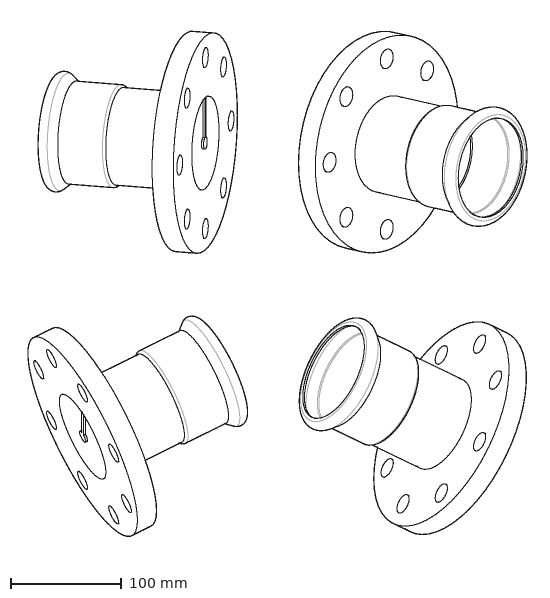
import cadquery as cq
import math

total_length = 143.0
flange_diameter = 200.0
flange_thickness = 20.0
flange_start = total_length - flange_thickness
bolt_count = 8
bolt_hole_diameter = 18.0
bolt_circle_diameter = 160.0

pipe_outer_radius = 88.8 / 2
pipe_bore_radius = 85.0 / 2

socket_outer_radius = 93.5 / 2
socket_bore_radius = 89.5 / 2
socket_end = 62.5
socket_bore_end = 59.5
shoulder_radius = 2.5

wall = 2.0
lip_radius = 91.0 / 2
bead_outer_radius = 6.0
bead_inner_radius = bead_outer_radius - wall
bead_center_radius = 48.8
bead_center_x = bead_outer_radius
bead_blend_angle = math.radians(50)
bead_cone_end = 17.8
cavity_edge_radius = 2.0

marker_disc_radius = 5.5
marker_bar_width = 3.2
marker_thickness = 2.0


def bead_point(radius, angle):
    """Point (x, radial distance) on a bead arc, at an angle from the +X direction."""
    return (
        bead_center_x + radius * math.cos(angle),
        bead_center_radius + radius * math.sin(angle),
    )


def make_fitting():
    upward = math.pi / 2

    cavity_blend = bead_point(bead_inner_radius, bead_blend_angle)
    cone_tilt = upward - bead_blend_angle
    cone_drop = cavity_blend[1] - socket_bore_radius
    cone_corner_x = cavity_blend[0] + cone_drop / math.tan(cone_tilt)
    setback = cavity_edge_radius * math.tan(cone_tilt / 2)
    edge_start = (
        cone_corner_x - setback * math.cos(cone_tilt),
        socket_bore_radius + setback * math.sin(cone_tilt),
    )
    edge_end = (cone_corner_x + setback, socket_bore_radius)
    edge_middle = (
        edge_end[0] - cavity_edge_radius * math.sin(cone_tilt / 2),
        socket_bore_radius + cavity_edge_radius * (1 - math.cos(cone_tilt / 2)),
    )

    turned_body = (
        cq.Workplane("XY")
        .moveTo(0, lip_radius)
        .lineTo(0, bead_center_radius)
        .threePointArc(
            bead_point(bead_outer_radius, upward),
            bead_point(bead_outer_radius, bead_blend_angle),
        )
        .lineTo(bead_cone_end, socket_outer_radius)
        .lineTo(socket_end - shoulder_radius, socket_outer_radius)
        .radiusArc((socket_end, pipe_outer_radius), shoulder_radius)
        .lineTo(flange_start, pipe_outer_radius)
        .lineTo(flange_start, flange_diameter / 2)
        .lineTo(total_length, flange_diameter / 2)
        .lineTo(total_length, pipe_bore_radius)
        .lineTo(socket_bore_end, pipe_bore_radius)
        .lineTo(socket_bore_end, socket_bore_radius)
        .lineTo(*edge_end)
        .threePointArc(edge_middle, edge_start)
        .lineTo(*cavity_blend)
        .threePointArc(bead_point(bead_inner_radius, upward), (wall, bead_center_radius))
        .lineTo(wall, lip_radius)
        .close()
        .revolve(360, (0, 0, 0), (1, 0, 0))
    )
    bolt_holes = (
        cq.Workplane("YZ", origin=(flange_start, 0, 0))
        .polarArray(bolt_circle_diameter / 2, 0, 360, bolt_count)
        .circle(bolt_hole_diameter / 2)
        .extrude(flange_thickness)
    )
    return turned_body.cut(bolt_holes)


def make_marker():
    half_width = marker_bar_width / 2
    bar_side_top = math.sqrt(pipe_bore_radius**2 - half_width**2)
    plane = cq.Workplane("YZ", origin=(total_length - marker_thickness, 0, 0))
    disc = plane.circle(marker_disc_radius).extrude(marker_thickness)
    bar = (
        plane.moveTo(-half_width, 0)
        .lineTo(-half_width, bar_side_top)
        .threePointArc((0, pipe_bore_radius), (half_width, bar_side_top))
        .lineTo(half_width, 0)
        .close()
        .extrude(marker_thickness)
    )
    return disc.union(bar)


fitting = make_fitting()
marker = make_marker()
result = cq.Compound.makeCompound([fitting.solids().val(), marker.solids().val()])